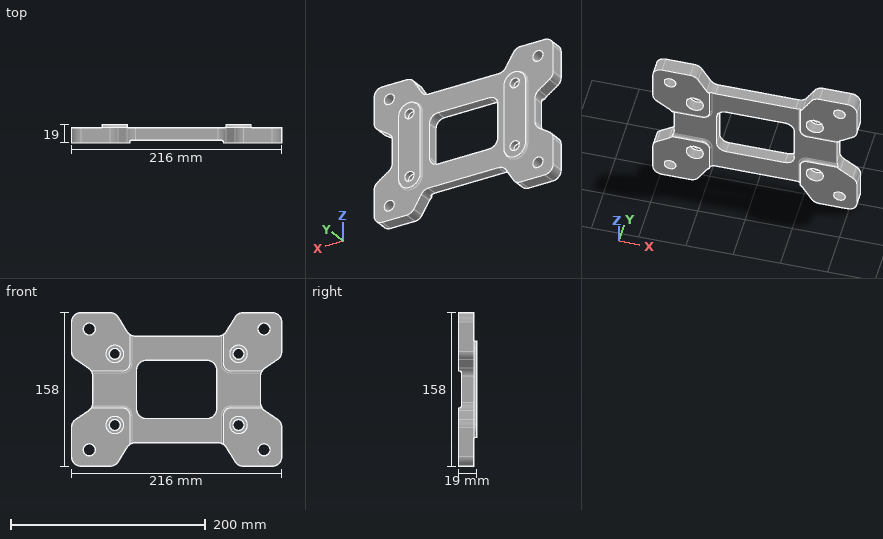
import cadquery as cq

length = 216.0
height = 158.0
plate_thickness = 16.0
corner_radius = 10.0

long_notch_top = 45.1
long_notch_bottom = 60.0
long_notch_depth = 24.2
short_notch_top = 45.4
short_notch_bottom = 60.0
short_notch_depth = 21.8

window_length = 82.0
window_height = 59.6

recess_depth = 3.0
pad_size = 60.0
floor_fillet = 2.0
pad_corner_radius = corner_radius - floor_fillet
overrun = 4.3

rail_width = 26.0
rail_height = 3.0
rail_fillet = 1.0

bolt_x = 63.5
bolt_z = 36.5
bolt_diameter = 11.0
counterbore_diameter = 18.0
counterbore_depth = 11.7
corner_hole_x = 89.6
corner_hole_z = 62.0
corner_hole_diameter = 12.0

half_length = length / 2
half_height = height / 2
signs = (-1, 1)


def front_plane(y):
    """Sketch plane at depth y with local axes +X and +Z; positive extrusion goes toward -Y."""
    return cq.Workplane("XZ", origin=(0, y, 0))


def mirrored_positions(x, z):
    """The four mirror images of a point in the XZ plane."""
    return [(sx * x, sz * z) for sx in signs for sz in signs]


def make_plate():
    """Flat plate with a sloped-side notch in the middle of each side and rounded corners."""
    quarter = [
        (half_length - short_notch_depth, half_height - short_notch_bottom),
        (half_length, half_height - short_notch_top),
        (half_length, half_height),
        (half_length - long_notch_top, half_height),
        (half_length - long_notch_bottom, half_height - long_notch_depth),
    ]
    upper_half = quarter + [(-x, z) for x, z in reversed(quarter)]
    lower_half = [(x, -z) for x, z in reversed(upper_half)]
    plate = front_plane(0).polyline(upper_half + lower_half).close().extrude(plate_thickness)
    return plate.edges("|Y").fillet(corner_radius)


def make_window():
    """Rounded rectangular cutter through the middle of the plate."""
    window = front_plane(0).rect(window_length, window_height).extrude(plate_thickness)
    return window.edges("|Y").fillet(corner_radius)


def make_recess():
    """Cross-shaped cutter, rounded where its floor meets its walls, running out past the plate."""
    floor = front_plane(recess_depth - plate_thickness)
    upright_arm = floor.rect(length - 2 * pad_size, height + 2 * overrun).extrude(recess_depth)
    level_arm = floor.rect(length + 2 * overrun, height - 2 * pad_size).extrude(recess_depth)
    within_plate = cq.selectors.BoxSelector(
        (-half_length, -plate_thickness, -half_height),
        (half_length, 0, half_height),
    )
    cross = upright_arm.union(level_arm)
    cross = cross.edges("|Y").edges(within_plate).fillet(pad_corner_radius)
    return cross.faces(">Y").edges().fillet(floor_fillet)


def add_rail(body, x):
    """Add a round-ended rail to the rear face and blend its foot into the plate."""
    rail_length = 2 * bolt_z + rail_width
    rail = front_plane(0).center(x, 0).slot2D(rail_length, rail_width, 90).extrude(-rail_height)
    reach_x = rail_width / 2 + rail_fillet
    reach_z = rail_length / 2 + rail_fillet
    around_foot = cq.selectors.BoxSelector(
        (x - reach_x, -rail_fillet, -reach_z),
        (x + reach_x, rail_fillet, reach_z),
    )
    joined = body.union(rail)
    return joined.edges(around_foot).fillet(rail_fillet)


def make_holes(positions, diameter, front_y, depth):
    """Cylindrical cutters that start at front_y and run toward the rear."""
    return front_plane(front_y).pushPoints(positions).circle(diameter / 2).extrude(-depth)


full_thickness = plate_thickness + rail_height
bolt_positions = mirrored_positions(bolt_x, bolt_z)
corner_positions = mirrored_positions(corner_hole_x, corner_hole_z)

result = make_plate().cut(make_window()).cut(make_recess())
for side in signs:
    result = add_rail(result, side * bolt_x)
result = (
    result
    .cut(make_holes(bolt_positions, bolt_diameter, -plate_thickness, full_thickness))
    .cut(make_holes(bolt_positions, counterbore_diameter, -plate_thickness, counterbore_depth))
    .cut(make_holes(corner_positions, corner_hole_diameter, -plate_thickness, full_thickness))
)